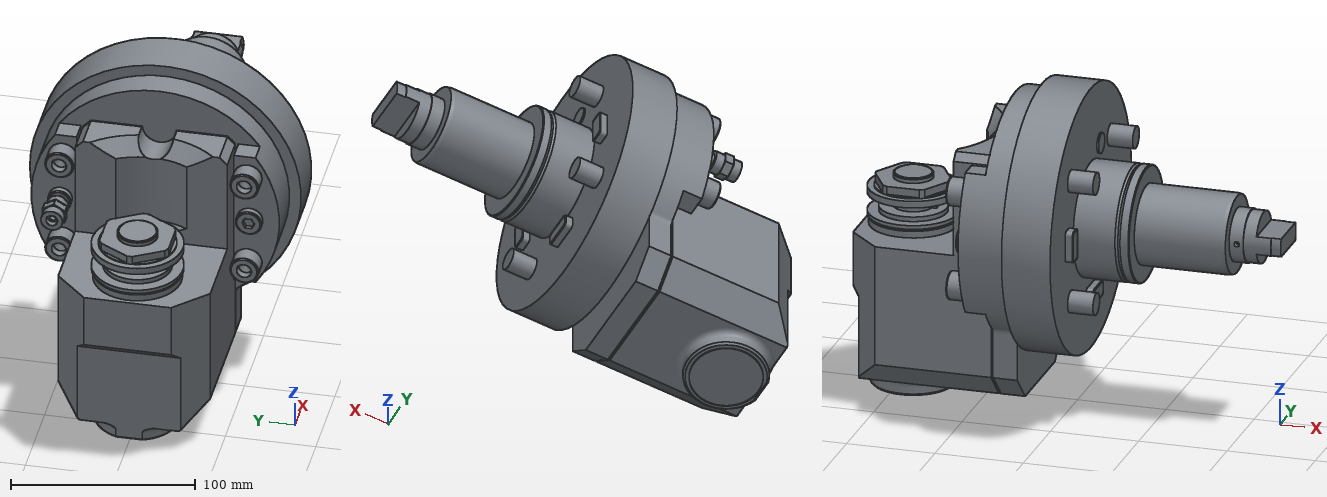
import cadquery as cq
import math


disc_radius = 75.0
disc_back = 27.5
rim_radius = 68.5
rim_front = -15.0
pad_front = -26.5
pad_half_height = 40.5
pad_inner_y = 43.5

collar_radius = 32.5
collar_end = 59.0
collar_groove_start = 51.1
collar_groove_middle = 52.5
collar_groove_end = 54.0
collar_groove_depth = 0.7
collar_chamfer = 0.5
shank_radius = 22.5
shank_end = 110.5
shank_chamfer_length = 2.2
shank_chamfer_depth = 0.5
neck_radius = 15.0
neck_end = 118.3
coupling_radius = 14.5
coupling_end = 125.5
tang_end = 139.3
tang_thickness = 10.3
tang_shoulder = 133.8
tang_tip_radius = 14.0
neck_hole_radius = 1.5
neck_hole_depth = 3.5
neck_hole_x = 114.7

head_half_width = 42.0
head_front = -99.7
head_lower_front = -95.1
head_top = -13.6
head_bottom = -96.5
head_back = -1.2
head_step_z = -44.2
head_side_chamfer = 18.0
head_bottom_chamfer = 14.5
upright_front = -37.3
upright_top = 45.2
upright_chamfer = 4.3
notch_radius = 9.5
back_block_top = -47.8
back_block_fillet = 4.0
seam_width = 1.0
seam_depth = 0.5

scoop_radius = 40.6
scoop_floor = -3.5
scoop_flare_start = 36.5

spindle_x = -73.0
nut_bottom = 8.0
nut_top = 13.0
nut_flats = 38.2
nut_corner_radius = 21.3
nut_collar_height = 0.5
spindle_shaft_radius = 11.0
spindle_tip_start = 15.0
spindle_tip_radius = 10.3
spindle_top = 15.8
washer_radius = 25.0
washer_bottom = 4.0
shoulder_radius = 19.0
shoulder_top = -3.5
ring_top = -6.2
ring_bottom = -8.4
ring_groove_radius = 23.7
base_radius = 24.4
base_top = -9.8
spindle_key_end = -59.3
spindle_key_width = 3.5
cap_radius = 23.5
cap_bottom = -106.0
cap_lip_radius = 20.0
cap_lip_height = 0.5
cap_flare = 3.5
cap_chamfer = 1.2

screw_y = 51.1
screw_z = 27.2
screw_radius = 8.0
screw_front = -36.5
screw_chamfer = 0.7
screw_socket_radius = 4.0
screw_socket_depth = 4.8
screw_socket_point = 2.5
fitting_radius = 6.0
fitting_front = -50.0
fitting_hex_front = -44.7
fitting_hex_back = -39.5
fitting_back = -34.2
fitting_neck_radius = 3.8
fitting_flats = 12.5
fitting_bore_radius = 2.0
fitting_bore_depth = 7.2
fitting_mouth_radius = 3.0
fitting_mouth_depth = 3.5
plug_y = 52.3
plug_radius = 7.2
fitting_plug_radius = 6.5
plug_front = -30.8
plug_socket_size = 6.0
plug_socket_depth = 2.5

bolt_y = 36.5
bolt_z = 35.0
bolt_radius = 6.2
bolt_end = 41.8
key_inner = 38.2
key_outer = 47.0
key_half_length = 8.8
key_end = 32.0
key_corner_radius = 2.2
key_chamfer = 0.5
button_radius = 5.7
button_y = 17.0
button_z = 37.3
button_end = 28.5


def x_cylinder(radius, start, end, y=0, z=0):
    """Cylinder along X between two X positions."""
    return cq.Workplane("YZ", origin=(start, y, z)).circle(radius).extrude(end - start)


def x_hexagon(flats, start, end, y, turn=0):
    """Hexagonal prism along X, given its size across flats."""
    corner_diameter = flats / math.cos(math.pi / 6)
    plane = cq.Workplane("YZ", origin=(start, y, 0)).transformed(rotate=(0, 0, turn))
    return plane.polygon(6, corner_diameter).extrude(end - start)


def z_cylinder(radius, start, end):
    """Cylinder on the tool axis between two heights."""
    return cq.Workplane("XY", origin=(spindle_x, 0, start)).circle(radius).extrude(end - start)


def block(x_range, y_range, z_range):
    """Box from its limits along the three axes."""
    (x0, x1), (y0, y1), (z0, z1) = x_range, y_range, z_range
    return cq.Workplane("XY").box(x1 - x0, y1 - y0, z1 - z0, centered=False).translate((x0, y0, z0))


def make_discs():
    discs = x_cylinder(disc_radius, 0, disc_back)
    discs = discs.union(x_cylinder(rim_radius, rim_front, 0))
    pads = x_cylinder(rim_radius, pad_front, rim_front)
    for side in (-1, 1):
        y_range = sorted((side * pad_inner_y, side * rim_radius))
        limits = block((pad_front, rim_front), y_range, (-pad_half_height, pad_half_height))
        discs = discs.union(pads.intersect(limits))
    return discs


def make_shank():
    groove_radius = collar_radius - collar_groove_depth
    profile = [
        (disc_back, 0),
        (disc_back, collar_radius),
        (collar_groove_start, collar_radius),
        (collar_groove_middle, groove_radius),
        (collar_groove_end, collar_radius),
        (collar_end - collar_chamfer, collar_radius),
        (collar_end, collar_radius - collar_chamfer),
        (collar_end, shank_radius),
        (shank_end - shank_chamfer_length, shank_radius),
        (shank_end, shank_radius - shank_chamfer_depth),
        (shank_end, neck_radius),
        (neck_end, neck_radius),
        (neck_end, coupling_radius),
        (tang_shoulder, coupling_radius),
        (tang_shoulder, tang_tip_radius),
        (tang_end, tang_tip_radius),
        (tang_end, 0),
    ]
    shank = cq.Workplane("XY").polyline(profile).close().revolve(360, (0, 0, 0), (1, 0, 0))
    for z_range in ((tang_thickness / 2, neck_radius), (-neck_radius, -tang_thickness / 2)):
        shank = shank.cut(block((coupling_end, tang_end), (-neck_radius, neck_radius), z_range))
    hole = cq.Workplane("XZ", origin=(neck_hole_x, -neck_radius + neck_hole_depth, 0))
    return shank.cut(hole.circle(neck_hole_radius).extrude(neck_hole_depth))


def make_head():
    front_step = head_lower_front - head_front
    side_outline = [
        (head_front, head_top),
        (upright_front, head_top),
        (upright_front, upright_top),
        (rim_front, upright_top),
        (rim_front, back_block_top),
        (head_back, back_block_top),
        (head_back, head_bottom),
        (head_lower_front, head_bottom),
        (head_lower_front, head_step_z - front_step),
        (head_front, head_step_z),
    ]
    plan_outline = [
        (head_back, head_half_width),
        (head_front + head_side_chamfer, head_half_width),
        (head_front, head_half_width - head_side_chamfer),
        (head_front, -head_half_width + head_side_chamfer),
        (head_front + head_side_chamfer, -head_half_width),
        (head_back, -head_half_width),
    ]
    end_outline = [
        (head_half_width - upright_chamfer, upright_top),
        (head_half_width, upright_top - upright_chamfer),
        (head_half_width, head_bottom + head_bottom_chamfer),
        (head_half_width - head_bottom_chamfer, head_bottom),
        (-head_half_width + head_bottom_chamfer, head_bottom),
        (-head_half_width, head_bottom + head_bottom_chamfer),
        (-head_half_width, upright_top - upright_chamfer),
        (-head_half_width + upright_chamfer, upright_top),
    ]
    height = upright_top - head_bottom
    head = cq.Workplane("XZ").polyline(side_outline).close().extrude(head_half_width, both=True)
    plan = cq.Workplane("XY", origin=(0, 0, head_bottom)).polyline(plan_outline).close().extrude(height)
    end = cq.Workplane("YZ", origin=(head_front, 0, 0)).polyline(end_outline).close()
    head = head.intersect(plan).intersect(end.extrude(head_back - head_front))
    head = head.cut(make_seam(end_outline)).cut(make_scoop())
    return head.cut(x_cylinder(notch_radius, upright_front, rim_front, z=upright_top))


def make_seam(end_outline):
    """Shallow groove around the head just in front of the rim disc."""
    plane = cq.Workplane("YZ", origin=(rim_front - seam_width, 0, 0))
    band = plane.polyline(end_outline).close().extrude(seam_width)
    core = plane.polyline(end_outline).close().offset2D(-seam_depth, "intersection").extrude(seam_width)
    return band.cut(core)


def make_back_fillets():
    """Hollow fillets where the sides of the head run into the rim disc."""
    center_y = head_half_width + back_block_fillet
    center_distance = rim_radius + back_block_fillet
    center_z = -math.sqrt(center_distance**2 - center_y**2)
    rim_touch_y = center_y * rim_radius / center_distance
    rim_touch_z = center_z * rim_radius / center_distance
    fillet = (
        cq.Workplane("YZ", origin=(rim_front, 0, 0))
        .moveTo(head_half_width, center_z)
        .radiusArc((rim_touch_y, rim_touch_z), back_block_fillet)
        .lineTo(head_half_width, back_block_top)
        .close()
        .extrude(head_back - rim_front)
    )
    return fillet.union(fillet.mirror("XZ"))


def make_scoop():
    """Cylindrical clearance with a 45 degree flare at the top and a 45 degree cone below."""
    flare = upright_top - scoop_flare_start
    floor_drop = scoop_floor - head_top
    profile = [
        (0, head_top),
        (scoop_radius - floor_drop, head_top),
        (scoop_radius, scoop_floor),
        (scoop_radius, scoop_flare_start),
        (scoop_radius + flare, upright_top),
        (0, upright_top),
    ]
    scoop = cq.Workplane("XZ").polyline(profile).close().revolve(360, (0, 0, 0), (0, 1, 0))
    return scoop.translate((spindle_x, 0, 0))


def make_spindle():
    steps = [
        (base_radius, head_top, base_top),
        (ring_groove_radius, base_top, ring_bottom),
        (washer_radius, ring_bottom, ring_top),
        (shoulder_radius, ring_top, shoulder_top),
        (spindle_shaft_radius, shoulder_top, washer_bottom),
        (washer_radius, washer_bottom, nut_bottom),
        (nut_corner_radius, nut_bottom, nut_bottom + nut_collar_height),
        (spindle_shaft_radius, nut_top, spindle_tip_start),
        (spindle_tip_radius, spindle_tip_start, spindle_top),
    ]
    nut_corners = nut_flats / math.cos(math.pi / 6)
    nut = cq.Workplane("XY", origin=(spindle_x, 0, nut_bottom)).polygon(6, nut_corners)
    spindle = nut.extrude(nut_top - nut_bottom)
    spindle = spindle.intersect(z_cylinder(nut_corner_radius, nut_bottom, nut_top))
    for radius, bottom, top in steps:
        spindle = spindle.union(z_cylinder(radius, bottom, top))
    key_sides = (-spindle_key_width / 2, spindle_key_width / 2)
    return spindle.union(block((spindle_x, spindle_key_end), key_sides, (shoulder_top, washer_bottom)))


def make_cap():
    """Round cap under the head, flared into it and trimmed flush with the lower front face."""
    lip_top = cap_bottom + cap_lip_height
    cap = (
        cq.Workplane("XZ")
        .moveTo(0, head_bottom)
        .lineTo(cap_radius + cap_flare, head_bottom)
        .radiusArc((cap_radius, head_bottom - cap_flare), -cap_flare)
        .lineTo(cap_radius, lip_top + cap_chamfer)
        .lineTo(cap_radius - cap_chamfer, lip_top)
        .lineTo(0, lip_top)
        .close()
        .revolve(360, (0, 0, 0), (0, 1, 0))
        .translate((spindle_x, 0, 0))
    )
    trim_outline = [
        (head_lower_front, head_bottom),
        (head_lower_front, lip_top + cap_chamfer),
        (head_lower_front + cap_chamfer, lip_top),
        (head_back, lip_top),
        (head_back, head_bottom),
    ]
    trim = cq.Workplane("XZ").polyline(trim_outline).close().extrude(head_half_width, both=True)
    cap = cap.intersect(trim)
    return cap.union(z_cylinder(cap_lip_radius, cap_bottom, lip_top))


def make_pad_screw(y, z):
    screw = x_cylinder(screw_radius, screw_front, pad_front, y, z).faces("<X").chamfer(screw_chamfer)
    socket_end = screw_front + screw_socket_depth
    point = cq.Solid.makeCone(
        screw_socket_radius, 0, screw_socket_point, cq.Vector(socket_end, y, z), cq.Vector(1, 0, 0)
    )
    return screw.cut(x_cylinder(screw_socket_radius, screw_front, socket_end, y, z)).cut(point)


def make_fitting():
    """Hexagonal pipe fitting standing on the +Y plug."""
    fitting = x_cylinder(fitting_radius, fitting_front, fitting_back, plug_y)
    fitting = fitting.union(x_cylinder(fitting_neck_radius, fitting_back, pad_front, plug_y))
    fitting = fitting.union(x_hexagon(fitting_flats, fitting_hex_front, fitting_hex_back, plug_y, turn=30))
    bore_end = fitting_front + fitting_bore_depth
    mouth_end = fitting_front + fitting_mouth_depth
    fitting = fitting.cut(x_cylinder(fitting_mouth_radius, fitting_front, mouth_end, plug_y))
    return fitting.cut(x_cylinder(fitting_bore_radius, fitting_front, bore_end, plug_y))


def make_plug(radius, y):
    plug = x_cylinder(radius, plug_front, pad_front, y).faces("<X").chamfer(screw_chamfer)
    return plug.cut(x_hexagon(plug_socket_size, plug_front, plug_front + plug_socket_depth, y))


def make_key(angle):
    """Key behind the large disc, turned about X by an angle from the +Y side."""
    key = block((disc_back, key_end), (key_inner, key_outer), (-key_half_length, key_half_length))
    key = key.edges("|X").fillet(key_corner_radius).faces(">X").chamfer(key_chamfer)
    return key.rotate((0, 0, 0), (1, 0, 0), angle)


result = make_discs().union(make_shank())
result = result.union(make_head()).union(make_back_fillets())
result = result.union(make_spindle()).union(make_cap())
for y_side in (-1, 1):
    for z_side in (-1, 1):
        result = result.union(make_pad_screw(y_side * screw_y, z_side * screw_z))
        result = result.union(x_cylinder(bolt_radius, disc_back, bolt_end, y_side * bolt_y, z_side * bolt_z))
result = result.union(make_plug(plug_radius, -plug_y))
result = result.union(make_plug(fitting_plug_radius, plug_y)).union(make_fitting())
for key_angle in (0, 180, 270):
    result = result.union(make_key(key_angle))
result = result.union(x_cylinder(button_radius, disc_back, button_end, button_y, button_z))